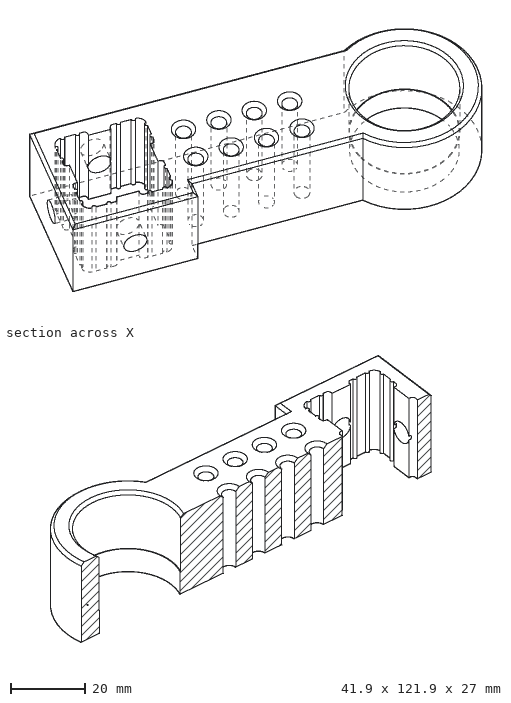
import cadquery as cq
import math

length = 121.9
height = 27.0
edge_chamfer = 1.0

ring_diameter = 41.9
ring_y = length - ring_diameter / 2
bore_diameter = 30.0
bore_mouth_diameter = 32.0
lip_diameter = 29.6
lip_height = 7.8

block_size = 35.7
block_left = -block_size / 2
block_center_y = block_size / 2
arm_right = 13.0

hole_diameter = 4.3
hole_mouth_diameter = 6.6
hole_columns = 2
hole_rows = 4
hole_pitch = 10.1
hole_grid_y = 54.7

socket_size = 26.0
socket_corner_radius = 2.4
pad_width = 6.5
pad_height = 1.5
pad_root_fillet = 1.0
rib_radius = 0.6
rib_offsets = (5.9, 10.1)
tolerance = 0.01

screw_diameter = 6.6
screw_z = height / 2


def make_body():
    arm_width = arm_right - block_left
    block = cq.Workplane().box(block_size, block_size, height, centered=False)
    arm = cq.Workplane().box(arm_width, ring_y, height, centered=False)
    ring = cq.Workplane().center(0, ring_y).circle(ring_diameter / 2).extrude(height)
    body = block.union(arm).translate((block_left, 0, 0)).union(ring)
    return body.faces(">Z").edges().chamfer(edge_chamfer)


def make_flared_cutter(diameter, mouth_diameter):
    """Cutter for a through hole along Z with a 45 degree flare at the top."""
    radius = diameter / 2
    mouth_radius = mouth_diameter / 2
    flare = mouth_radius - radius
    profile = cq.Workplane("XZ").polyline([
        (0, 0),
        (radius, 0),
        (radius, height - flare),
        (mouth_radius, height),
        (0, height),
    ]).close()
    return profile.revolve(360, (0, 0, 0), (0, 1, 0))


def make_bore():
    """Bore cutter that leaves a thin retaining lip at the bottom."""
    bore = make_flared_cutter(bore_diameter, bore_mouth_diameter)
    lip = (
        cq.Workplane()
        .circle(bore_diameter / 2)
        .circle(lip_diameter / 2)
        .extrude(lip_height)
    )
    return bore.cut(lip).translate((0, ring_y, 0))


def cut_hole_grid(body):
    hole = make_flared_cutter(hole_diameter, hole_mouth_diameter)
    for column in range(hole_columns):
        x = (column - (hole_columns - 1) / 2) * hole_pitch
        for row in range(hole_rows):
            y = hole_grid_y + (row - (hole_rows - 1) / 2) * hole_pitch
            body = body.cut(hole.translate((x, y, 0)))
    return body


def make_socket():
    wall = socket_size / 2
    square = cq.Workplane().rect(socket_size, socket_size).extrude(height)
    socket = square.edges("|Z").fillet(socket_corner_radius)

    pads = (
        cq.Workplane()
        .polarArray(wall, 0, 360, 4)
        .rect(2 * pad_height, pad_width)
        .extrude(height)
    )
    socket = socket.cut(pads)

    pad_root_distance = math.hypot(wall, pad_width / 2)

    def is_pad_root(edge):
        center = edge.Center()
        return abs(math.hypot(center.x, center.y) - pad_root_distance) < tolerance

    socket = socket.edges("|Z").filter(is_pad_root).fillet(pad_root_fillet)

    ribs = (
        cq.Workplane()
        .pushPoints([(sign * x, wall) for x in rib_offsets for sign in (-1, 1)])
        .circle(rib_radius)
        .extrude(height)
    )
    for side in range(4):
        socket = socket.cut(ribs.rotate((0, 0, 0), (0, 0, 1), 90 * side))
    return socket.translate((0, block_center_y, 0))


def make_screw_holes():
    """One hole through both side walls and one through the front wall."""
    radius = screw_diameter / 2
    across = cq.Workplane("YZ").center(block_center_y, screw_z).circle(radius)
    front = cq.Workplane("XZ").center(0, screw_z).circle(radius)
    return across.extrude(block_size, both=True).union(front.extrude(-block_center_y))


body = make_body().cut(make_bore())
body = cut_hole_grid(body)
result = body.cut(make_socket()).cut(make_screw_holes())